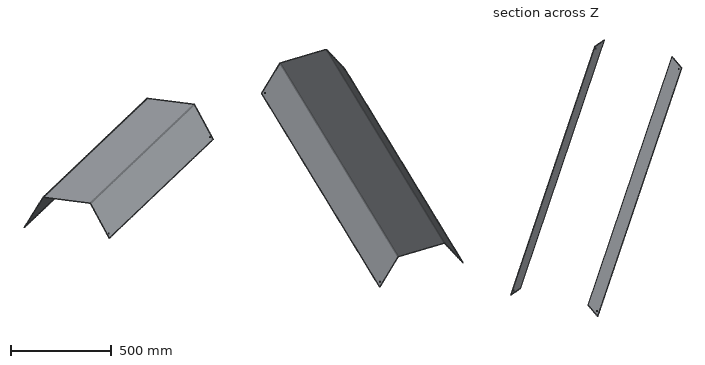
import cadquery as cq
import math

length = 1500.0
overall_width = 450.0
overall_height = 174.0
sheet = 2.0
flange_angle = 60.0
inner_bend_radius = sheet
outer_bend_radius = inner_bend_radius + sheet

hole_diameter = 5.0
hole_end_distance = 20.0
hole_edge_distance = 20.0

slope = math.radians(flange_angle)
down_flange = (math.cos(slope), -math.sin(slope))
inward = (-math.sin(slope), -math.cos(slope))

tip_x = overall_width / 2
tip_z = -sheet * inward[1]
fold_x = tip_x - (overall_height - tip_z) / math.tan(slope)
inner_fold_x = fold_x - sheet * math.tan(slope / 2)
inner_fold_z = overall_height - sheet


def round_folds(body, x, z, radius):
    """Round the pair of lengthwise edges at plus and minus x, at height z."""
    for side in (-1, 1):
        edge = cq.selectors.NearestToPointSelector((side * x, length / 2, z))
        body = body.edges("|Y").edges(edge).fillet(radius)
    return body


def folded_sheet():
    right_side = [
        (fold_x, overall_height),
        (tip_x, tip_z),
        (tip_x + sheet * inward[0], 0),
        (inner_fold_x, inner_fold_z),
    ]
    left_side = [(-x, z) for x, z in reversed(right_side)]
    body = cq.Workplane("XZ").polyline(right_side + left_side).close().extrude(-length)
    body = round_folds(body, inner_fold_x, inner_fold_z, inner_bend_radius)
    return round_folds(body, fold_x, overall_height, outer_bend_radius)


def flange_hole(side, y):
    """Cutter square to a flange; side is 1 for right and -1 for left."""
    x = tip_x - hole_edge_distance * down_flange[0]
    z = tip_z - hole_edge_distance * down_flange[1]
    overshoot = sheet
    start = cq.Vector(side * (x - overshoot * inward[0]), y, z - overshoot * inward[1])
    direction = cq.Vector(side * inward[0], 0, inward[1])
    depth = sheet + 2 * overshoot
    return cq.Workplane(cq.Solid.makeCylinder(hole_diameter / 2, depth, start, direction))


result = folded_sheet()
for side in (-1, 1):
    for y in (hole_end_distance, length - hole_end_distance):
        result = result.cut(flange_hole(side, y))